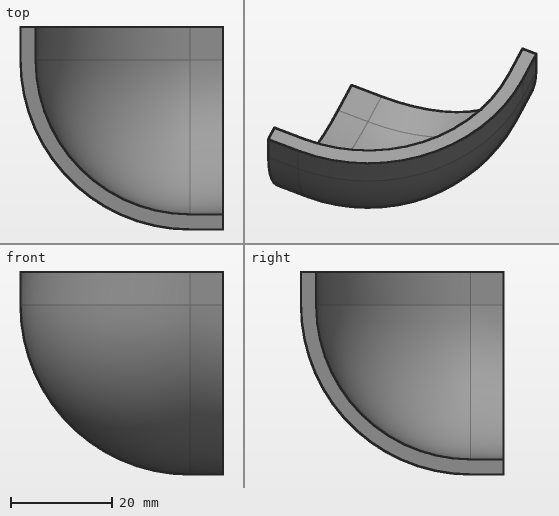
import cadquery as cq

outer_size = 40.0
wall = 3.0
straight_rim = 6.5

outer_radius = outer_size - straight_rim
inner_radius = outer_radius - wall


def rounded_corner(radius):
    """Solid cube reaching from -radius to the open sides, its (-X, -Y, -Z) corner rounded to a sphere."""
    side = radius + straight_rim
    cube = cq.Workplane("XY").box(side, side, side, centered=False)
    cube = cube.translate((-radius, -radius, -radius))
    corner_edges = "(|X and <Y and <Z) or (|Y and <X and <Z) or (|Z and <X and <Y)"
    return cube.edges(corner_edges).fillet(radius)


result = rounded_corner(outer_radius).cut(rounded_corner(inner_radius))